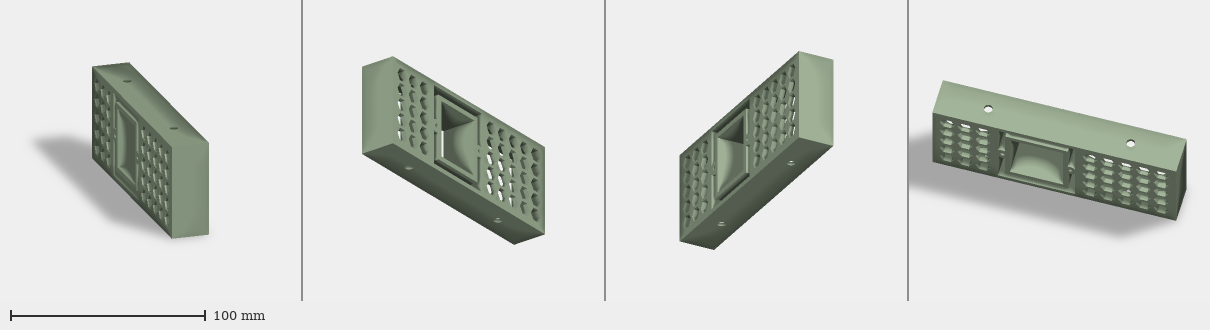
import cadquery as cq

LENGTH = 130.0
DEPTH = 20.0
HEIGHT = 50.0
FRONT_Y = -DEPTH / 2

WALL = 2.0
PLATE = 2.6
CAVITY_RADIUS = 8.5

BAY_X = -9.5
BAY_WIDTH = 41.1
BAY_HEIGHT = 45.0
TUBE_WIDTH = 33.3
TUBE_HEIGHT = 37.2
WINDOW_WIDTH = 28.2
WINDOW_HEIGHT = 31.8

POST_OFFSET = 18.1
POST_WALL = 2.5
LEFT_SCREW_DIAMETER = 2.5
RIGHT_SCREW_DIAMETER = 1.8

HEX_DIAMETER = 8.0
HEX_PITCH_X = 9.5
HEX_PITCH_Z = 8.6
HEX_ROWS = 5
LEFT_COLUMNS = 3
RIGHT_COLUMNS = 5

MOUNT_DIAMETER = 4.5
MOUNT_OFFSET = 38.0

BAY_LEFT = BAY_X - BAY_WIDTH / 2
BAY_RIGHT = BAY_X + BAY_WIDTH / 2
TRENCH_DEPTH = DEPTH - PLATE


def front_sketch(x):
    """Workplane on the front face whose extrusions run backward along +Y."""
    return cq.Workplane("XZ", origin=(x, FRONT_Y, 0))


def prism(x, width, height, depth):
    """Rectangular prism running back from the front face."""
    return front_sketch(x).rect(width, height).extrude(-depth)


def cylinder(x, diameter, depth):
    """Round bar running back from the front face at mid height."""
    return front_sketch(x).circle(diameter / 2).extrude(-depth)


def cavity(left, right):
    """Hollow behind the front plate, open at the back, rounded where its walls meet the plate."""
    width = right - left - 2 * WALL
    hollow = prism((left + right) / 2, width, HEIGHT - 2 * WALL, DEPTH - PLATE)
    return hollow.faces("<Y").edges().fillet(CAVITY_RADIUS).translate((0, PLATE, 0))


def vents(left, right, columns):
    """Grid of hexagonal vents centred on a compartment, cut through the front plate and cavity rounding."""
    return (
        front_sketch((left + right) / 2)
        .rarray(HEX_PITCH_X, HEX_PITCH_Z, columns, HEX_ROWS)
        .polygon(6, HEX_DIAMETER)
        .extrude(-DEPTH)
    )


body = cq.Workplane("XY").box(LENGTH, DEPTH, HEIGHT)

for left, right, columns in (
    (-LENGTH / 2, BAY_LEFT, LEFT_COLUMNS),
    (BAY_RIGHT, LENGTH / 2, RIGHT_COLUMNS),
):
    body = body.cut(cavity(left, right)).cut(vents(left, right, columns))

trench = prism(BAY_X, BAY_WIDTH, BAY_HEIGHT, TRENCH_DEPTH)
trench = trench.cut(prism(BAY_X, TUBE_WIDTH, TUBE_HEIGHT, TRENCH_DEPTH))

screws = (
    (BAY_X - POST_OFFSET, LEFT_SCREW_DIAMETER),
    (BAY_X + POST_OFFSET, RIGHT_SCREW_DIAMETER),
)
for x, diameter in screws:
    trench = trench.cut(cylinder(x, diameter + 2 * POST_WALL, TRENCH_DEPTH))
body = body.cut(trench)

for x, diameter in screws:
    body = body.cut(cylinder(x, diameter, DEPTH))

body = body.cut(prism(BAY_X, WINDOW_WIDTH, WINDOW_HEIGHT, DEPTH))

mount_holes = (
    cq.Workplane("XY", origin=(0, 0, -HEIGHT / 2))
    .pushPoints([(-MOUNT_OFFSET, 0), (MOUNT_OFFSET, 0)])
    .circle(MOUNT_DIAMETER / 2)
    .extrude(HEIGHT)
)

result = body.cut(mount_holes)